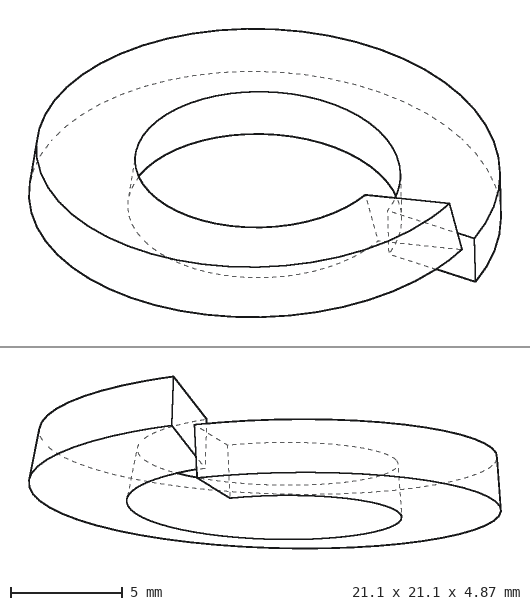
import cadquery as cq
import math

outer_radius = 10.55
section_width = 4.45
section_height = 2.45
rise = 2.49
end_roll = 13.4
low_end_y = 0.46
high_end_y = -0.61
end_face_lean = 0.05

overrun = 1.5
curve_steps = 48

low_angle = math.degrees(math.asin(low_end_y / outer_radius))
high_angle = 360 + math.degrees(math.asin((high_end_y - end_face_lean * rise) / outer_radius))


def corner_point(angle, inward, upward):
    """Place a section point, measured from the lower outer corner, at an angle around Z."""
    progress = (angle - low_angle) / (high_angle - low_angle)
    roll = math.radians(end_roll * progress)
    radius = outer_radius - inward * math.cos(roll) - upward * math.sin(roll)
    height = rise * progress - inward * math.sin(roll) + upward * math.cos(roll)
    turn = math.radians(angle)
    return cq.Vector(radius * math.cos(turn), radius * math.sin(turn), height)


def corner_edge(inward, upward):
    """Curve followed by one corner of the section along the whole coil."""
    first = low_angle - overrun
    step = (high_angle - low_angle + 2 * overrun) / curve_steps
    points = [corner_point(first + i * step, inward, upward) for i in range(curve_steps + 1)]
    return cq.Edge.makeSpline(points)


def make_coil():
    """Solid bounded by ruled faces between neighbouring corner curves."""
    corners = [
        (0, 0),
        (0, section_height),
        (section_width, section_height),
        (section_width, 0),
    ]
    edges = [corner_edge(*corner) for corner in corners]
    faces = [cq.Face.makeRuledSurface(edges[i - 1], edges[i]) for i in range(len(edges))]
    for end in (0, 1):
        ends = [edge.positionAt(end) for edge in edges]
        faces.append(cq.Face.makeFromWires(cq.Wire.makePolygon(ends, close=True)))
    return cq.Solid.makeSolid(cq.Shell.makeShell(faces))


def make_gap():
    """Leaning slab between the two end faces, cutting only the +X side of the ring."""
    bottom = -section_height
    top = rise + 2 * section_height
    outline = [
        (high_end_y - end_face_lean * bottom, bottom),
        (low_end_y - end_face_lean * bottom, bottom),
        (low_end_y - end_face_lean * top, top),
        (high_end_y - end_face_lean * top, top),
    ]
    return cq.Workplane("YZ").polyline(outline).close().extrude(2 * outer_radius)


result = cq.Workplane(make_coil()).cut(make_gap())